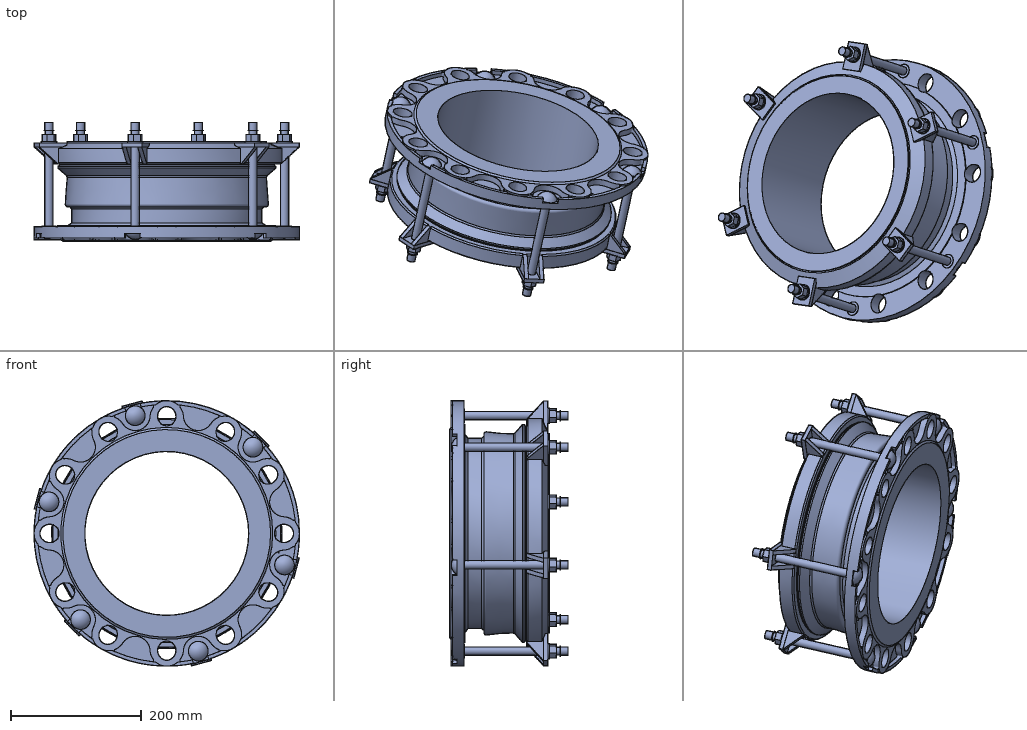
import cadquery as cq
import math


flange_radius = 203.0
bore_radius = 125.0
seal_face_radius = 158.7
seal_face_root_radius = 162.0
web_face_y = 2.5
rim_face_y = 5.3
flange_back_y = 22.7
rim_inner_radius = 197.5
back_land_radius = 167.0
back_land_y = 24.5

hole_count = 12
hole_circle_radius = 177.5
hole_width = 27.5
hole_length = 29.2
hole_offset = 1.5
boss_radius = flange_radius - hole_circle_radius

pocket_floor_y = 12.0
pocket_corner_radius = 2.0
pocket_angle = 180 / hole_count
notch_width = 24.5

bolt_count = 6
first_bolt_angle = 45.0
bolt_circle_radius = 186.5
rod_diameter = 13.0
head_diameter = 30.0
head_height = 9.0
spot_boss_diameter = 21.0
spot_boss_height = 1.0
washer_diameter = 24.0
washer_thickness = 2.5
nut_across_flats = 19.0
nut_top_y = 163.5
bolt_neck_diameter = 12.0
cap_flange_diameter = 16.0
cap_flange_thickness = 0.5
cap_y = 169.7
bolt_end_y = 182.0

neck_radius = 291.0 / 2
neck_root_radius = 151.5
neck_start_y = 28.5
neck_end_y = 49.5
shoulder_inner_radius = 148.5
shoulder_y = 52.8
shoulder_round = 4.0
body_front_radius = 155.5
body_rear_radius = 305.0 / 2
flare_radius = 154.0
taper_end_y = 98.0
flare_y = 100.5
collar_radius = 167.0
collar_front_y = 112.0
collar_rear_y = 114.5
gasket_radius = 164.5
gasket_front_y = 116.5

gland_radius = 176.2
gland_front_y = 118.0
gland_chamfer_radial = 2.0
gland_chamfer_axial = 2.5
gland_shoulder_y = 141.5
gland_top_radius = 154.5
gland_top_y = 150.5
end_ring_radius = 305.0 / 2
end_ring_y = 153.0
lug_width = 32.0
lug_plate_thickness = 6.5
lug_rib_thickness = 6.5
lug_rib_inset = 0.5
lug_root_radius = 162.5
lug_outer_radius = 205.5


def rod(diameter, start_y, end_y, radius):
    """Cylinder along Y whose axis crosses the X axis at the given radius."""
    return cq.Workplane("XZ", origin=(radius, start_y, 0)).circle(diameter / 2).extrude(start_y - end_y)


def around(shape, count, first_angle):
    """List of evenly spaced copies about Y; angles run from +X toward +Z."""
    step = 360 / count
    return [shape.rotate((0, 0, 0), (0, 1, 0), -first_angle - i * step) for i in range(count)]


def turned_body():
    """Flange, neck, body, gasket and gland ring as one revolved section."""
    profile = (
        cq.Workplane("XY")
        .moveTo(bore_radius, 0)
        .lineTo(seal_face_radius, 0)
        .lineTo(seal_face_root_radius, web_face_y)
        .lineTo(rim_inner_radius, web_face_y)
        .lineTo(rim_inner_radius, rim_face_y)
        .lineTo(flange_radius, rim_face_y)
        .lineTo(flange_radius, flange_back_y)
        .lineTo(back_land_radius, flange_back_y)
        .lineTo(back_land_radius, back_land_y)
        .lineTo(neck_root_radius, back_land_y)
        .lineTo(neck_radius, neck_start_y)
        .lineTo(neck_radius, neck_end_y)
        .lineTo(shoulder_inner_radius, shoulder_y)
        .lineTo(body_front_radius - shoulder_round, shoulder_y)
        .radiusArc((body_front_radius, shoulder_y + shoulder_round), -shoulder_round)
        .lineTo(body_rear_radius, taper_end_y)
        .lineTo(flare_radius, flare_y)
        .lineTo(collar_radius, collar_front_y)
        .lineTo(collar_radius, collar_rear_y)
        .lineTo(gasket_radius, gasket_front_y)
        .lineTo(gasket_radius, gland_front_y)
        .lineTo(gland_radius - gland_chamfer_radial, gland_front_y)
        .lineTo(gland_radius, gland_front_y + gland_chamfer_axial)
        .lineTo(gland_radius, gland_shoulder_y)
        .lineTo(gland_top_radius, gland_top_y)
        .lineTo(end_ring_radius, gland_top_y)
        .lineTo(end_ring_radius, end_ring_y)
        .lineTo(bore_radius, end_ring_y)
        .close()
    )
    return profile.revolve(360, (0, 0, 0), (0, 1, 0))


def bolt_hole():
    """Elliptical hole, longer radially, through the flange on the X axis."""
    plane = cq.Workplane("XZ", origin=(hole_circle_radius + hole_offset, 0, 0))
    return plane.ellipse(hole_length / 2, hole_width / 2).extrude(-back_land_y)


def pocket():
    """Pocket on the X axis: bounded by two bosses, a round root and the inside of the rim."""
    half = math.radians(pocket_angle)
    boss_x = hole_circle_radius * math.cos(half)
    boss_z = hole_circle_radius * math.sin(half)
    spacing = math.hypot(bolt_circle_radius - boss_x, boss_z)
    root_radius = spacing - boss_radius

    share = root_radius / spacing
    tangent_x = bolt_circle_radius + (boss_x - bolt_circle_radius) * share
    tangent_z = boss_z * share

    turn = math.acos(
        (rim_inner_radius**2 + hole_circle_radius**2 - boss_radius**2)
        / (2 * rim_inner_radius * hole_circle_radius)
    )
    corner_x = rim_inner_radius * math.cos(half - turn)
    corner_z = rim_inner_radius * math.sin(half - turn)

    outline = (
        cq.Workplane("XZ", origin=(0, web_face_y, 0))
        .moveTo(corner_x, corner_z)
        .threePointArc((rim_inner_radius, 0), (corner_x, -corner_z))
        .radiusArc((tangent_x, -tangent_z), -boss_radius)
        .threePointArc((bolt_circle_radius - root_radius, 0), (tangent_x, tangent_z))
        .radiusArc((corner_x, corner_z), -boss_radius)
        .close()
    )
    solid = outline.extrude(web_face_y - pocket_floor_y)
    return solid.edges("|Y").edges(">X").fillet(pocket_corner_radius)


def rim_notch():
    """Opening through the rim outside each bolt head."""
    return (
        cq.Workplane("XY")
        .box(head_diameter, pocket_floor_y, notch_width, centered=(False, False, True))
        .translate((bolt_circle_radius, 0, 0))
    )


def lug():
    """Gland lug on the X axis: flat plate carried by two triangular ribs."""
    plate_front_y = gland_top_y - lug_plate_thickness
    plate_length = lug_outer_radius - lug_root_radius
    plate = (
        cq.Workplane("XY")
        .box(plate_length, lug_plate_thickness, lug_width, centered=(False, False, True))
        .translate((lug_root_radius, plate_front_y, 0))
    )
    rib = (
        cq.Workplane("XY", origin=(0, 0, lug_width / 2 - lug_rib_inset - lug_rib_thickness))
        .moveTo(lug_root_radius, plate_front_y)
        .lineTo(lug_outer_radius, plate_front_y)
        .lineTo(gland_radius, gland_front_y)
        .lineTo(lug_root_radius, gland_front_y)
        .close()
        .extrude(lug_rib_thickness)
    )
    return plate.union(rib).union(rib.mirror("XY"))


def dome_point(base_radius, height):
    """Point halfway along a spherical cap's profile, measured from the middle of its base."""
    sphere_radius = (base_radius**2 + height**2) / (2 * height)
    angle = math.asin(base_radius / sphere_radius) / 2
    return sphere_radius * math.sin(angle), sphere_radius * (1 - math.cos(angle)) - height


def tie_bolt():
    """Domed head, rod, washer, nut and end cap on the X axis."""
    head_radius = head_diameter / 2
    dome = (
        cq.Workplane("XY", origin=(bolt_circle_radius, pocket_floor_y, 0))
        .lineTo(head_radius, 0)
        .threePointArc(dome_point(head_radius, head_height), (0, -head_height))
        .close()
        .revolve(360, (0, 0, 0), (0, 1, 0))
    )
    washer_top_y = gland_top_y + washer_thickness
    nut_corners = nut_across_flats / math.cos(math.pi / 6)
    nut = (
        cq.Workplane("XZ", origin=(bolt_circle_radius, washer_top_y, 0))
        .polygon(6, nut_corners)
        .extrude(washer_top_y - nut_top_y)
    )
    return (
        dome.union(rod(rod_diameter, pocket_floor_y, gland_top_y, bolt_circle_radius))
        .union(rod(spot_boss_diameter, flange_back_y, flange_back_y + spot_boss_height, bolt_circle_radius))
        .union(rod(washer_diameter, gland_top_y, washer_top_y, bolt_circle_radius))
        .union(nut)
        .union(rod(bolt_neck_diameter, nut_top_y, cap_y, bolt_circle_radius))
        .union(rod(cap_flange_diameter, cap_y - cap_flange_thickness, cap_y, bolt_circle_radius))
        .union(rod(rod_diameter, cap_y, bolt_end_y, bolt_circle_radius))
    )


result = turned_body()

for boss in around(rod(2 * boss_radius, web_face_y, pocket_floor_y, hole_circle_radius), hole_count, 0):
    result = result.union(boss)

for cutter in around(bolt_hole(), hole_count, 0) + around(pocket(), hole_count, pocket_angle):
    result = result.cut(cutter)

for notch in around(rim_notch(), bolt_count, first_bolt_angle):
    result = result.cut(notch)

for part in around(lug(), bolt_count, first_bolt_angle) + around(tie_bolt(), bolt_count, first_bolt_angle):
    result = result.union(part)